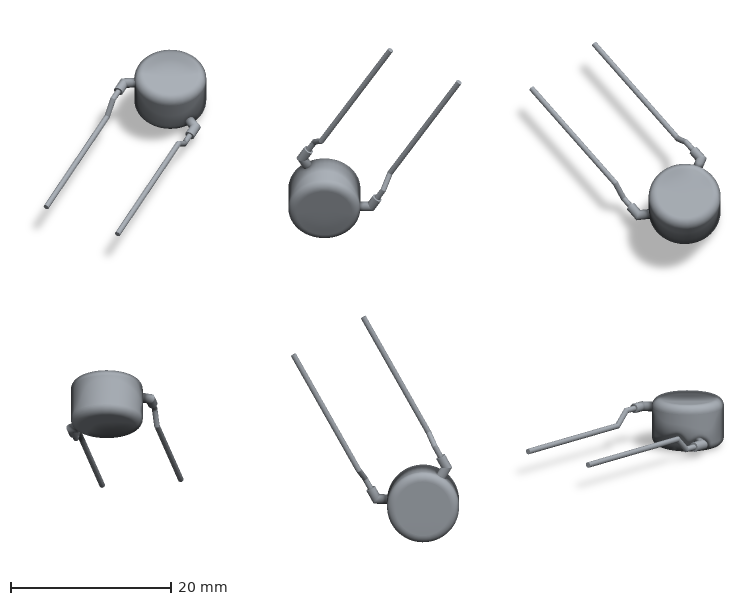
import cadquery as cq

disc_diameter = 9.0
disc_height = 6.0
disc_edge_radius = 1.02

lead_spacing = 9.98
coating_diameter = 1.22
wire_diameter = 0.7
lead_height = 1.62
overall_length = 29.0

coating_bend_distance = 3.0
coating_end_distance = 4.52
first_wire_bend_distance = 6.0
second_wire_bend_distance = first_wire_bend_distance + lead_height
wire_end_distance = overall_length - disc_diameter / 2


def make_disc():
    return (
        cq.Workplane("XY", origin=(0, 0, -disc_height / 2))
        .circle(disc_diameter / 2)
        .extrude(disc_height)
        .edges()
        .fillet(disc_edge_radius)
    )


def round_bar(points, diameter):
    """Round bar with mitred bends along straight stretches between the points."""
    path = cq.Workplane("XY").polyline(points)
    start_plane = cq.Plane(origin=points[0], normal=cq.Vector(*points[1]) - cq.Vector(*points[0]))
    return cq.Workplane(start_plane).circle(diameter / 2).sweep(path, transition="right")


def make_lead(side, disc):
    """Lead on the -X side (side = -1, upper) or the +X side (side = 1, lower)."""
    x = side * lead_spacing / 2
    z = -side * lead_height

    coating_start = (x / 2, -coating_bend_distance / 2, z)
    coating_bend = (x, -coating_bend_distance, z)
    coating_end = (x, -coating_end_distance, z)
    coating = round_bar([coating_start, coating_bend, coating_end], coating_diameter).cut(disc)

    first_bend = (x, -first_wire_bend_distance, z)
    second_bend = (x, -second_wire_bend_distance, 0)
    wire_end = (x, -wire_end_distance, 0)
    wire = round_bar([coating_end, first_bend, second_bend, wire_end], wire_diameter)
    return coating.union(wire)


disc = make_disc()
leads = [make_lead(side, disc) for side in (-1, 1)]

result = cq.Compound.makeCompound([disc.val(), *[lead.solids().val() for lead in leads]])